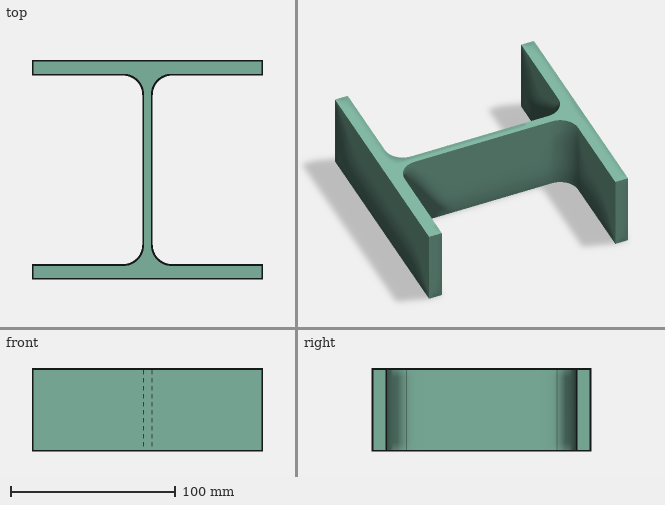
import cadquery as cq

flange_width = 140.0
section_depth = 133.0
beam_length = 50.0
flange_thickness = 8.5
web_thickness = 5.5
root_radius = 12.0

flange_offset = (section_depth - flange_thickness) / 2


def plate(width, depth, center_y=0):
    """Rectangular plate running the full beam length along Z."""
    return cq.Workplane("XY").center(0, center_y).rect(width, depth).extrude(beam_length)


beam = plate(web_thickness, section_depth)
for side in (-1, 1):
    beam = beam.union(plate(flange_width, flange_thickness, side * flange_offset))

web_corner_x = web_thickness / 2
web_corner_y = section_depth / 2 - flange_thickness
selection_margin = 0.7
root_edges = cq.selectors.BoxSelector(
    (-web_corner_x - selection_margin, -web_corner_y - selection_margin, 0),
    (web_corner_x + selection_margin, web_corner_y + selection_margin, beam_length),
)
result = beam.edges("|Z").edges(root_edges).fillet(root_radius)